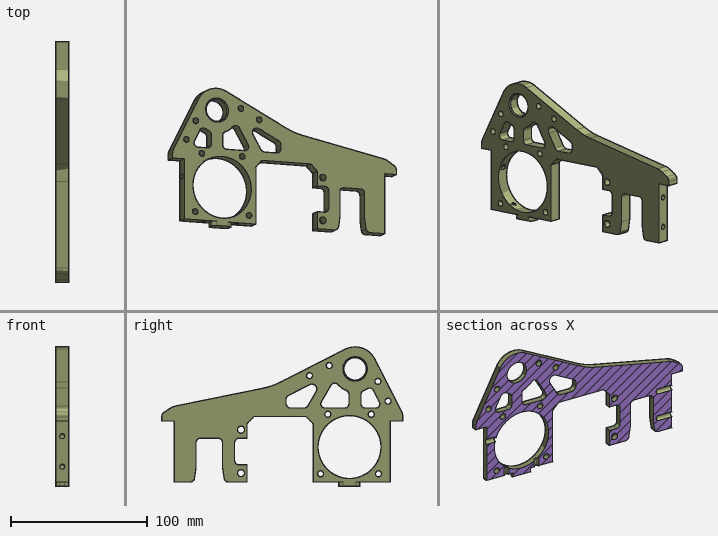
import cadquery as cq
import math

THICKNESS = 9.5

FRONT_Y = -137.5
LENGTH = 176.5
BACK_Y = FRONT_Y + LENGTH
FLANGE_Z = 19.0
BASE_Z = -25.6
BEAM_Z = 22.2
BODY_BACK_Y = 29.8
BODY_FRONT_Y = -26.7
BRIDGE_CHAMFER = 5.1
END_RADIUS = 4.0
BACK_END_RADIUS = 7.0

BEARING_Y, BEARING_Z = 4.0, 57.2
HEAD_RADIUS = 16.2
RAIL_ANGLE = math.radians(27)
VALLEY_Y = -56.7
VALLEY_RADIUS = 50.0
ARM_SLOPE = 0.203
NOSE_Y = -129.2
NOSE_RADIUS = 12.0

LEG_BACK_Y = -75.0
LEG_FRONT_Y = -128.3
NOTCH_Y = -84.0
NOTCH_TOP_Z = 6.4
NOTCH_BOTTOM_Z = -12.9
SLOT_BACK_Y = -93.0
SLOT_FRONT_Y = -112.3
SLOT_TAPER_Z = -15.2
SLOT_FLARE = 1.6
INNER_RADIUS = 3.0
TOE_RADIUS = 3.0

BORE_RADIUS = 23.0
BEARING_RADIUS = 8.1
BEARING_CHAMFER = 0.9
SCREW_DIAMETER = 4.2
CLIP_DIAMETER = 5.0
TAPPED_DIAMETER = 3.7
LEG_TAPPED_DEPTH = 12.4
BACK_TAPPED_DEPTH = 8.0
BASE_TAPPED_DEPTH = 6.0
DRILL_HALF_ANGLE = math.radians(59)
CORNER_HOLE_Y, CORNER_HOLE_Z = 21.2, -19.6
UPPER_HOLE_Y, UPPER_HOLE_Z = 15.9, 24.0
RAIL_HOLE_INSET = 5.5
RAIL_HOLE_STATIONS = (32.0, 48.2)
CLIP_HOLE_Y = -79.5
CLIP_HOLE_Z = (12.7, -19.0)
LEG_TAPPED_Z = (8.0, -14.3)
BACK_TAPPED_Z = 6.7
BASE_TAPPED_Y = 12.9

RAIL_WIDTH = 11.5
POCKET_RADIUS = 3.0
FRONT_POCKET_RADIUS = 3.5
POCKET_FLOOR_Z = 28.6
BEARING_WEB_RADIUS = 17.1
POST_BACK_Y, POST_FRONT_Y = 8.5, -0.5
STRUT_ANGLE = math.radians(30)
STRUT_FLOOR_Y = -23.1
STRUT_WIDTH = 7.2
POCKET_FRONT_Y = -46.5

FOOT_WIDTH = 15.5
FOOT_Y = -0.2
FOOT_HEIGHT = 3.2
FOOT_RADIUS = 3.0

SIN_RAIL, COS_RAIL = math.sin(RAIL_ANGLE), math.cos(RAIL_ANGLE)
HEAD_Y = BEARING_Y + HEAD_RADIUS * (COS_RAIL - SIN_RAIL)
HEAD_Z = BEARING_Z + HEAD_RADIUS * (COS_RAIL + SIN_RAIL)


def back_rail(along, inset):
    """Point given by its distance down the back rail and its depth inside that edge."""
    return (HEAD_Y + along * SIN_RAIL - inset * COS_RAIL, HEAD_Z - along * COS_RAIL - inset * SIN_RAIL)


def front_rail(along, inset):
    """Point given by its distance down the front rail and its depth inside that edge."""
    return (HEAD_Y - along * COS_RAIL + inset * SIN_RAIL, HEAD_Z - along * SIN_RAIL - inset * COS_RAIL)


def back_rail_z(y, inset=0.0):
    return back_rail(0, inset)[1] - (y - back_rail(0, inset)[0]) / math.tan(RAIL_ANGLE)


def back_rail_y(z, inset=0.0):
    return back_rail(0, inset)[0] + (back_rail(0, inset)[1] - z) * math.tan(RAIL_ANGLE)


def front_rail_z(y, inset=0.0):
    return front_rail(0, inset)[1] + (y - front_rail(0, inset)[0]) * math.tan(RAIL_ANGLE)


def prism(points):
    """Polygon in (y, z) extruded through the plate thickness."""
    return cq.Workplane("YZ").polyline(points).close().extrude(THICKNESS / 2, both=True)


def cylinder(y, z, radius):
    """Cylinder across the plate thickness."""
    return cq.Workplane("YZ").center(y, z).circle(radius).extrude(THICKNESS / 2, both=True)


def rounded_profile(corners):
    """Extrude a polygon of (y, z, radius) corners, with tangent arcs where the radius is not zero."""
    count = len(corners)
    path = None
    for i, (y, z, radius) in enumerate(corners):
        corner = cq.Vector(y, z)
        to_previous = (cq.Vector(*corners[i - 1][:2]) - corner).normalized()
        to_next = (cq.Vector(*corners[(i + 1) % count][:2]) - corner).normalized()
        half_angle = to_previous.getAngle(to_next) / 2
        setback = radius / math.tan(half_angle)
        start = (corner + to_previous * setback).toTuple()[:2]
        path = cq.Workplane("YZ").moveTo(*start) if path is None else path.lineTo(*start)
        if radius:
            bisector = (to_previous + to_next).normalized()
            middle = corner + bisector * (radius / math.sin(half_angle) - radius)
            end = corner + to_next * setback
            path = path.threePointArc(middle.toTuple()[:2], end.toTuple()[:2])
    return path.close().extrude(THICKNESS / 2, both=True)


def plate():
    end_z = back_rail_z(BACK_Y)
    valley_z = front_rail_z(VALLEY_Y)
    nose_z = valley_z - (VALLEY_Y - NOSE_Y) * ARM_SLOPE
    return rounded_profile([
        (HEAD_Y, HEAD_Z, HEAD_RADIUS),
        (VALLEY_Y, valley_z, VALLEY_RADIUS),
        (NOSE_Y, nose_z, NOSE_RADIUS),
        (FRONT_Y, end_z, END_RADIUS),
        (FRONT_Y, FLANGE_Z, 0),
        (LEG_FRONT_Y, FLANGE_Z, 0),
        (LEG_FRONT_Y, BASE_Z, 0),
        (SLOT_FRONT_Y - SLOT_FLARE, BASE_Z, TOE_RADIUS),
        (SLOT_FRONT_Y, SLOT_TAPER_Z, 0),
        (SLOT_FRONT_Y, NOTCH_TOP_Z, INNER_RADIUS),
        (SLOT_BACK_Y, NOTCH_TOP_Z, INNER_RADIUS),
        (SLOT_BACK_Y, SLOT_TAPER_Z, 0),
        (SLOT_BACK_Y + SLOT_FLARE, BASE_Z, TOE_RADIUS),
        (LEG_BACK_Y, BASE_Z, 0),
        (LEG_BACK_Y, NOTCH_BOTTOM_Z, 0),
        (NOTCH_Y, NOTCH_BOTTOM_Z, INNER_RADIUS),
        (NOTCH_Y, NOTCH_TOP_Z, INNER_RADIUS),
        (LEG_BACK_Y, NOTCH_TOP_Z, 0),
        (LEG_BACK_Y, BEAM_Z - BRIDGE_CHAMFER, 0),
        (LEG_BACK_Y + BRIDGE_CHAMFER, BEAM_Z, 0),
        (BODY_FRONT_Y - BRIDGE_CHAMFER, BEAM_Z, 0),
        (BODY_FRONT_Y, BEAM_Z - BRIDGE_CHAMFER, 0),
        (BODY_FRONT_Y, BASE_Z, 0),
        (BODY_BACK_Y, BASE_Z, 0),
        (BODY_BACK_Y, FLANGE_Z, 0),
        (BACK_Y, FLANGE_Z, 0),
        (BACK_Y, end_z, BACK_END_RADIUS),
    ])


def foot():
    """Low pad with rounded vertical edges, standing on the bottom face of the body."""
    return (
        cq.Workplane("XY", origin=(0, FOOT_Y, BASE_Z - FOOT_HEIGHT))
        .rect(THICKNESS, FOOT_WIDTH)
        .extrude(FOOT_HEIGHT)
        .edges("|Z")
        .fillet(FOOT_RADIUS)
    )


def pockets():
    """Three rounded windows between the rails, the bearing web, the post and the strut."""
    web = cylinder(BEARING_Y, BEARING_Z, BEARING_WEB_RADIUS)
    strut_lean = math.tan(STRUT_ANGLE)
    rise = BEARING_Z - POCKET_FLOOR_Z

    back = prism([
        (POST_BACK_Y, POCKET_FLOOR_Z),
        (back_rail_y(POCKET_FLOOR_Z, RAIL_WIDTH), POCKET_FLOOR_Z),
        (back_rail_y(BEARING_Z, RAIL_WIDTH), BEARING_Z),
        (POST_BACK_Y, BEARING_Z),
    ]).cut(web)
    middle = prism([
        (POST_FRONT_Y, POCKET_FLOOR_Z),
        (STRUT_FLOOR_Y, POCKET_FLOOR_Z),
        (STRUT_FLOOR_Y + rise * strut_lean, BEARING_Z),
        (POST_FRONT_Y, BEARING_Z),
    ]).cut(web)

    strut_front_y = STRUT_FLOOR_Y - STRUT_WIDTH / math.cos(STRUT_ANGLE)
    gap = front_rail_z(strut_front_y, RAIL_WIDTH) - POCKET_FLOOR_Z
    top_rise = gap / (1 - strut_lean * math.tan(RAIL_ANGLE))
    front = prism([
        (strut_front_y, POCKET_FLOOR_Z),
        (strut_front_y + top_rise * strut_lean, POCKET_FLOOR_Z + top_rise),
        (POCKET_FRONT_Y, front_rail_z(POCKET_FRONT_Y, RAIL_WIDTH)),
        (POCKET_FRONT_Y, POCKET_FLOOR_Z),
    ])
    windows = [pocket.edges("|X").fillet(POCKET_RADIUS) for pocket in (back, middle)]
    return windows + [front.edges("|X").fillet(FRONT_POCKET_RADIUS)]


def bearing_hole():
    """Through hole with a lead-in chamfer on both faces of the plate."""
    hole = cylinder(BEARING_Y, BEARING_Z, BEARING_RADIUS)
    for side in (-1, 1):
        face_centre = cq.Vector(side * THICKNESS / 2, BEARING_Y, BEARING_Z)
        inward = cq.Vector(-side, 0, 0)
        mouth_radius = BEARING_RADIUS + BEARING_CHAMFER
        lead_in = cq.Solid.makeCone(mouth_radius, BEARING_RADIUS, BEARING_CHAMFER, face_centre, inward)
        hole = hole.union(cq.Workplane(lead_in))
    return hole


def cross_holes():
    """Screw holes and clip holes through the plate thickness."""
    screws = [(side * CORNER_HOLE_Y, CORNER_HOLE_Z) for side in (-1, 1)]
    screws += [(side * UPPER_HOLE_Y, UPPER_HOLE_Z) for side in (-1, 1)]
    for along in RAIL_HOLE_STATIONS:
        screws += [back_rail(along, RAIL_HOLE_INSET), front_rail(along, RAIL_HOLE_INSET)]
    holes = [cylinder(y, z, SCREW_DIAMETER / 2) for y, z in screws]
    return holes + [cylinder(CLIP_HOLE_Y, z, CLIP_DIAMETER / 2) for z in CLIP_HOLE_Z]


def drilled_hole(y, z, angle, depth):
    """Blind hole with a drill point; it starts along +Y and is turned by the angle towards +Z."""
    radius = TAPPED_DIAMETER / 2
    point_depth = radius / math.tan(DRILL_HALF_ANGLE)
    section = [(0, 0), (radius, 0), (radius, depth), (0, depth + point_depth)]
    drill = cq.Workplane("XY").polyline(section).close().revolve(360, (0, 0), (0, 1))
    return drill.rotate((0, 0, 0), (1, 0, 0), angle).translate((0, y, z))


def edge_holes():
    """Tapped holes in the front leg, the back edge and the bottom of the body."""
    holes = [drilled_hole(LEG_FRONT_Y, z, 0, LEG_TAPPED_DEPTH) for z in LEG_TAPPED_Z]
    holes.append(drilled_hole(BODY_BACK_Y, BACK_TAPPED_Z, 180, BACK_TAPPED_DEPTH))
    for side in (-1, 1):
        holes.append(drilled_hole(side * BASE_TAPPED_Y, BASE_Z, 90, BASE_TAPPED_DEPTH))
    return holes


result = plate().union(foot())
cutters = [cylinder(0, 0, BORE_RADIUS), bearing_hole()]
cutters += pockets() + cross_holes() + edge_holes()
for cutter in cutters:
    result = result.cut(cutter)